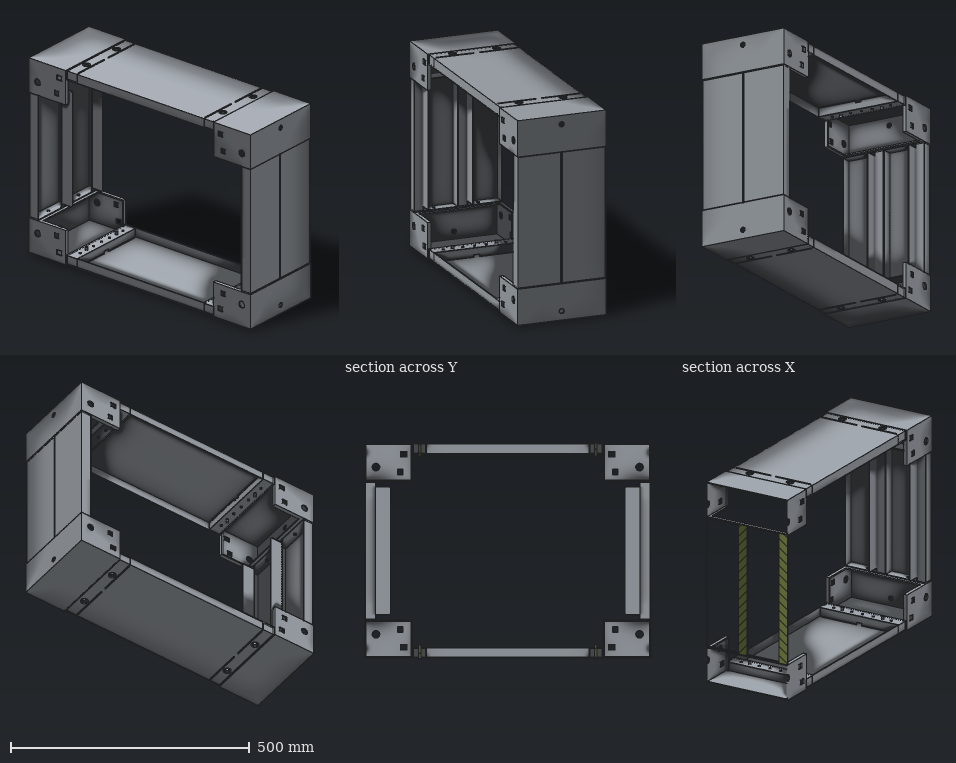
import cadquery as cq
FRAME_X = 600.0
FRAME_Y = FRAME_X / 3
FRAME_Z = 450.0
SHEET = 2.0

CORNER_X = FRAME_X / 6
CORNER_Z = 80.0
CORNER_SHEET = 3.0
CHEEK_LIP = 8.5
SEAT_LIP = 32.5
ROUND_HOLE = 15.0
ROUND_HOLE_X = 24.0
ROUND_HOLE_Z = 50.0
SQUARE_HOLES = [
    (82.0, 23.0, 12.5, 11.0),
    (75.0, 60.0, 11.0, 11.0),
]
END_HOLE = 11.0
END_HOLE_Z = 20.0

COVER_GAP = 0.5
COVER_X = FRAME_X - 2 * (CORNER_X + COVER_GAP)
COVER_Y = 196.0
COVER_Z = 22.0
COVER_BEND = 2.5
BEAM_X = 29.0
SLIT_EDGE = 6.5
SLIT_GAP = 13.0
SLIT_DEPTH = 0.5
NOTCH_Z = 4.0
STUD = 6.0
STUD_X = 15.0
STUD_Y = 50.0
STUD_HEAD = 1.5
STUD_TAIL = 5.5
STUD_CLEARANCE = 11.5
COUNTERSINK = 17.0
BEAM_HOLE = 5.0
BEAM_HOLES_Y = [-71.0, -26.5, 0, 26.5, 71.0]

SIDE_X = 25.0
SIDE_Y = FRAME_Y / 2
SIDE_Z = FRAME_Z - 2 * CORNER_Z
SIDE_BEND = 1.0
RETURN_Y = 22.0
FLANGE_X = 29.5
FLANGE_INSET = 11.0
FLANGE_CHAMFER = 3.0
FLANGE_BEND = 2.5
SIDE_HOLE = 6.0


def block(x0, x1, y0, y1, z0, z1):
    """Box between two opposite corners."""
    return cq.Workplane("XY").box(x1 - x0, y1 - y0, z1 - z0, centered=False).translate((x0, y0, z0))


def bore(diameter, axis, start, length):
    """Round cutter along a global axis direction."""
    return cq.Workplane(cq.Solid.makeCylinder(diameter / 2, length, cq.Vector(*start), cq.Vector(*axis)))


def make_corner():
    """Bracket at the -X, -Z corner of the frame, with that outer corner at X = Z = 0."""
    half = FRAME_Y / 2
    inner = half - CORNER_SHEET
    body = block(0, CORNER_X, -half, half, 0, CORNER_Z)
    body = body.cut(
        block(CORNER_SHEET, CORNER_X - CORNER_SHEET, -inner, inner, CORNER_SHEET, CORNER_Z - CORNER_SHEET)
    )
    opening = half - CHEEK_LIP
    body = body.cut(block(SEAT_LIP, CORNER_X, -opening, opening, CORNER_SHEET, CORNER_Z))
    body = body.cut(bore(ROUND_HOLE, (0, 1, 0), (ROUND_HOLE_X, -half, ROUND_HOLE_Z), FRAME_Y))
    for x, z, size_x, size_z in SQUARE_HOLES:
        body = body.cut(block(x - size_x / 2, x + size_x / 2, -half, half, z - size_z / 2, z + size_z / 2))
    return body.cut(bore(END_HOLE, (1, 0, 0), (0, 0, END_HOLE_Z), CORNER_SHEET))


def make_cover():
    """Bottom panel with its skin at Z = 0 and a hollow beam folded up at each end."""
    end = COVER_X / 2
    half = COVER_Y / 2
    inner = half - SHEET
    wall_x = end - BEAM_X
    body = block(-end, end, -half, half, 0, COVER_Z).faces("<Z").edges().fillet(COVER_BEND)
    bay = block(-wall_x, wall_x, -inner, inner, SHEET, COVER_Z)
    body = body.cut(bay)
    for side in (-1, 1):
        body = finish_beam(body, side, end, inner, wall_x)
    return body


def countersunk_hole():
    """Cutter for a stud hole in a cover skin, cone up to half the sheet."""
    cone = cq.Solid.makeCone(COUNTERSINK / 2, STUD_CLEARANCE / 2, SHEET / 2)
    return bore(STUD_CLEARANCE, (0, 0, 1), (0, 0, 0), SHEET).union(cq.Workplane(cone))


def finish_beam(body, side, end, inner, wall_x):
    """Hollow one end beam of a cover and add its slits, holes and studs."""
    def beam_block(x0, x1, y0, y1, z0, z1):
        return block(min(side * x0, side * x1), max(side * x0, side * x1), y0, y1, z0, z1)

    body = body.cut(beam_block(wall_x + SHEET, end - SHEET, -inner, inner, SHEET, COVER_Z - SHEET))
    slit_end = COVER_Y / 2 - SLIT_EDGE
    for y0, y1 in ((-slit_end, -SLIT_GAP / 2), (SLIT_GAP / 2, slit_end)):
        body = body.cut(beam_block(wall_x, wall_x + SHEET, y0, y1, 0, SLIT_DEPTH))
    body = body.cut(
        beam_block(wall_x, wall_x + SHEET, -SLIT_GAP / 2, SLIT_GAP / 2, SHEET, SHEET + NOTCH_Z)
    )
    stud_x = side * (end - STUD_X)
    for y in BEAM_HOLES_Y:
        body = body.cut(bore(BEAM_HOLE, (0, 0, 1), (stud_x, y, COVER_Z - SHEET), SHEET))
    for y in (-STUD_Y, STUD_Y):
        body = body.cut(countersunk_hole().translate((stud_x, y, 0)))
        stud_length = STUD_HEAD + COVER_Z + STUD_TAIL
        body = body.union(bore(STUD, (0, 0, 1), (stud_x, y, -STUD_HEAD), stud_length))
    return body


def make_side():
    """Tray on the -X side with its skin at X = 0, its -Y edge at Y = 0, centred in Z."""
    half_z = SIDE_Z / 2
    body = block(0, SIDE_X, 0, SIDE_Y, -half_z, half_z).faces("<X").edges().fillet(SIDE_BEND)
    cavity = block(SHEET, SIDE_X, SHEET, SIDE_Y - SHEET, SHEET - half_z, half_z - SHEET)
    body = body.cut(cavity)
    flange_z = half_z - FLANGE_INSET
    flange_y = SIDE_Y - RETURN_Y
    foot_x = SIDE_X - SHEET
    body = body.union(block(foot_x, SIDE_X, flange_y, SIDE_Y, -half_z, half_z))
    flange = block(foot_x, SIDE_X + FLANGE_X, flange_y, flange_y + SHEET, -flange_z, flange_z)
    flange = flange.faces(">X").edges("|Y").chamfer(FLANGE_CHAMFER)
    body = body.union(flange)
    bend_x = foot_x + FLANGE_BEND
    bend_y = flange_y + FLANGE_BEND
    body = body.cut(block(foot_x, bend_x, flange_y, bend_y, -half_z, half_z))
    bend = cq.Workplane("XY").center(bend_x, bend_y).circle(FLANGE_BEND).circle(FLANGE_BEND - SHEET)
    bend = bend.extrude(2 * half_z).translate((0, 0, -half_z))
    body = body.union(bend.intersect(block(foot_x, bend_x, flange_y, bend_y, -half_z, half_z)))
    return body.cut(bore(SIDE_HOLE, (0, 0, 1), (SIDE_X / 2, SIDE_Y / 2, -half_z), SIDE_Z))


def with_mirror(bodies, plane):
    """The bodies followed by their mirror images."""
    return bodies + [body.mirror(plane) for body in bodies]


bracket = make_corner().translate((-FRAME_X / 2, 0, -FRAME_Z / 2))
corners = with_mirror(with_mirror([bracket], "YZ"), "XY")

cover = make_cover().translate((0, 0, -FRAME_Z / 2))
covers = with_mirror([cover], "XY")

tray = make_side()
trays = [tray.translate((-FRAME_X / 2, y, 0)) for y in (-SIDE_Y, 0)]
sides = with_mirror(trays, "YZ")

result = cq.Compound.makeCompound([body.val() for body in corners + covers + sides])